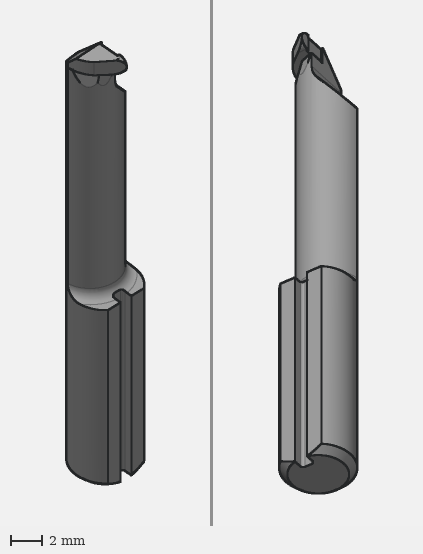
import cadquery as cq
import math

total_length = 35.0
shank_radius = 2.502
flat_x = 1.942
end_chamfer = 0.52
groove_width = 0.95
groove_floor_x = 1.12
groove_corner_radius = 0.2

shoulder_z = 15.0
neck_radius = 2.28
neck_center_x = -1.45
shoulder_fillet = 0.75

rake_y = 0.07
nose_width = 1.2
head_bottom_z = total_length - nose_width
nose_radius = nose_width / 2
bevel_start_x = -0.45
relief_angle = 3.0
flank_corner = (0.612, -1.55)
flank_arc_middle = (-0.25, -2.05)
head_back = (-1.1, -2.255)

ramp_angle = 50.0
ramp_end_y = 2.3
ramp_end_z = 29.5
ramp_blend_radius = 1.5

pocket_start_x = -0.4
pocket_end_x = 1.22
pocket_depth = 0.15

scoop_height = 1.22
scoop_facets = [(0.262, -45.0), (0.15, -20.0)]

margin = 3.5


def make_shank():
    blank = cq.Workplane("XY").circle(shank_radius).extrude(total_length)
    return blank.faces("<Z").chamfer(end_chamfer)


def make_envelope():
    """Flatted base below the shoulder, and the neck above it with a foot fillet."""
    base = (
        cq.Workplane("XY")
        .box(flat_x + margin, 4 * shank_radius, shoulder_z, centered=(False, True, False))
        .translate((-margin, 0, 0))
    )
    foot_radius = neck_radius + shoulder_fillet
    fillet_top_z = shoulder_z + shoulder_fillet
    arc_offset = shoulder_fillet * math.sqrt(0.5)
    neck = (
        cq.Workplane("XZ")
        .moveTo(0, 0)
        .lineTo(foot_radius, 0)
        .lineTo(foot_radius, shoulder_z)
        .threePointArc((foot_radius - arc_offset, fillet_top_z - arc_offset), (neck_radius, fillet_top_z))
        .lineTo(neck_radius, total_length)
        .lineTo(0, total_length)
        .close()
        .revolve(360, (0, 0, 0), (0, 1, 0))
        .translate((neck_center_x, 0, 0))
    )
    return base.union(neck)


def make_groove():
    length_x = flat_x + margin - groove_floor_x
    return (
        cq.Workplane("XY")
        .box(length_x, groove_width, total_length, centered=(False, True, False))
        .edges("|Z and <X")
        .fillet(groove_corner_radius)
        .translate((groove_floor_x, 0, 0))
    )


def make_scoop(depth, direction):
    """Wedge that is deepest right under the head and fades out downward."""
    wedge = (
        cq.Workplane("XZ")
        .moveTo(neck_radius, head_bottom_z - scoop_height)
        .lineTo(neck_radius - depth, head_bottom_z)
        .lineTo(neck_radius + margin, head_bottom_z)
        .lineTo(neck_radius + margin, head_bottom_z - scoop_height)
        .close()
        .extrude(margin, both=True)
    )
    return wedge.rotate((0, 0, 0), (0, 0, 1), direction).translate((neck_center_x, 0, 0))


def make_head():
    """Curved flank seen along Z, combined with the round-nosed outline seen along Y."""
    plan = (
        cq.Workplane("XY", origin=(0, 0, head_bottom_z))
        .moveTo(head_back[0], rake_y)
        .lineTo(flat_x, rake_y)
        .lineTo(*flank_corner)
        .threePointArc(flank_arc_middle, head_back)
        .close()
        .extrude(nose_width)
    )
    outline = (
        cq.Workplane("XZ")
        .moveTo(-shank_radius, head_bottom_z)
        .lineTo(flat_x - nose_radius, head_bottom_z)
        .threePointArc((flat_x, total_length - nose_radius), (flat_x - nose_radius, total_length))
        .lineTo(-shank_radius, total_length)
        .close()
        .extrude(shank_radius, both=True)
    )
    return plan.intersect(outline)


def make_chip_pocket():
    return (
        cq.Workplane("XY")
        .box(pocket_end_x - pocket_start_x, pocket_depth, nose_width, centered=False)
        .translate((pocket_start_x, rake_y - pocket_depth, head_bottom_z))
    )


def make_bevel():
    """Space above the relieved top face and the 45 degree back bevel."""
    run = shank_radius + margin
    return (
        cq.Workplane("XZ")
        .moveTo(bevel_start_x + run, total_length)
        .lineTo(bevel_start_x, total_length)
        .lineTo(bevel_start_x - run, total_length - run)
        .lineTo(bevel_start_x - run, total_length + margin)
        .lineTo(bevel_start_x + run, total_length + margin)
        .close()
        .extrude(2 * shank_radius, both=True)
        .rotate((0, rake_y, total_length), (1, rake_y, total_length), relief_angle)
    )


def make_rake_clearance():
    """Space behind the rake face, ending in a blended ramp."""
    turn = math.radians(90 - ramp_angle)
    blend_end_y = rake_y + ramp_blend_radius * (1 - math.cos(turn))
    blend_end_z = ramp_end_z + (ramp_end_y - blend_end_y) * math.tan(math.radians(ramp_angle))
    blend_start_z = blend_end_z + ramp_blend_radius * math.sin(turn)
    blend_middle = (
        rake_y + ramp_blend_radius * (1 - math.cos(turn / 2)),
        blend_start_z - ramp_blend_radius * math.sin(turn / 2),
    )
    outer_y = ramp_end_y + margin
    outer_z = ramp_end_z - margin * math.tan(math.radians(ramp_angle))
    return (
        cq.Workplane("YZ")
        .moveTo(rake_y, total_length + margin)
        .lineTo(rake_y, blend_start_z)
        .threePointArc(blend_middle, (blend_end_y, blend_end_z))
        .lineTo(outer_y, outer_z)
        .lineTo(outer_y, total_length + margin)
        .close()
        .extrude(2 * shank_radius, both=True)
    )


result = make_shank().intersect(make_envelope()).cut(make_groove())
for facet_depth, facet_direction in scoop_facets:
    result = result.cut(make_scoop(facet_depth, facet_direction))
result = result.union(make_head()).cut(make_bevel())
result = result.cut(make_rake_clearance()).cut(make_chip_pocket())